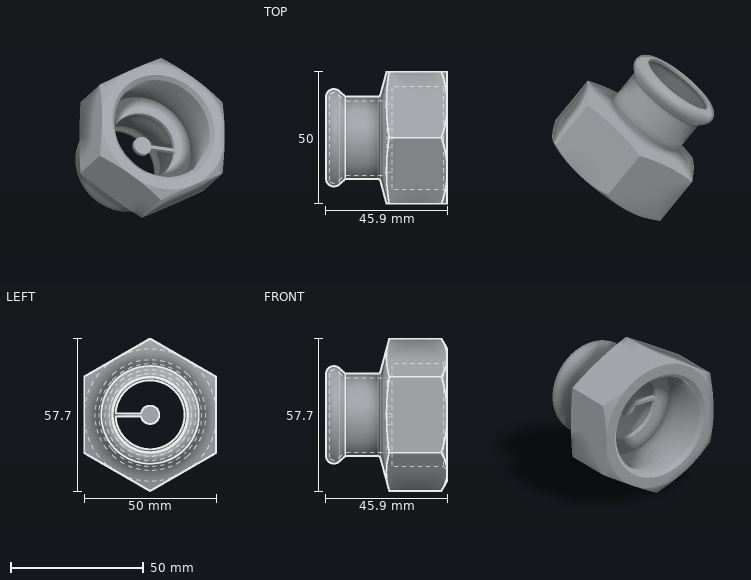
import cadquery as cq
import math

LENGTH = 45.9
ACROSS_FLATS = 50.0
CORNER_RADIUS = ACROSS_FLATS / math.sqrt(3)

TUBE_RADIUS = 31.3 / 2
SOCKET_RADIUS = 28.2 / 2
SOCKET_DEPTH = 23.0

BEAD_RADIUS = 3.0
BEAD_CENTER_X = BEAD_RADIUS
BEAD_CENTER_R = 15.5
BEAD_ANGLE = math.radians(42)
GROOVE_RADIUS = 1.7
MOUTH_RADIUS = 28.8 / 2
MOUTH_ROUND = 0.2

HEX_START_X = 23.93
BACK_CONE_ANGLE = math.radians(15)
NECK_FILLET = 1.0
END_CHAMFER = 2.2
END_CHAMFER_ANGLE = math.radians(30)

STOP_RADIUS = 26.0 / 2
STOP_THICKNESS = 2.0

THREAD_MINOR_RADIUS = 38.95 / 2
THREAD_MAJOR_RADIUS = 41.91 / 2

DISC_RADIUS = 3.5
ARM_WIDTH = 1.3


def arc_point(radius, angle):
    """Point (x, r) on a circle about the bead centre; angle leans from outward toward +X."""
    return (
        BEAD_CENTER_X + radius * math.sin(angle),
        BEAD_CENTER_R + radius * math.cos(angle),
    )


def cone_end_x(start, end_radius):
    """X where the bead's tapered flank, leaving start, comes down to end_radius."""
    return start[0] + (start[1] - end_radius) / math.tan(BEAD_ANGLE)


def revolve_x(profile):
    """Turn a closed (x, r) profile about the X axis."""
    return profile.close().revolve(360, (0, 0, 0), (1, 0, 0))


def make_bead_and_tube():
    front = arc_point(BEAD_RADIUS, -math.pi / 2)
    crest = arc_point(BEAD_RADIUS, 0)
    flank = arc_point(BEAD_RADIUS, BEAD_ANGLE)
    return revolve_x(
        cq.Workplane("XY")
        .moveTo(0, 0)
        .lineTo(*front)
        .threePointArc(crest, flank)
        .lineTo(cone_end_x(flank, TUBE_RADIUS), TUBE_RADIUS)
        .lineTo(HEX_START_X, TUBE_RADIUS)
        .lineTo(HEX_START_X, 0)
    )


def make_hexagon():
    prism = (
        cq.Workplane("YZ")
        .polygon(6, 2 * CORNER_RADIUS)
        .extrude(LENGTH)
        .rotate((0, 0, 0), (1, 0, 0), 90)
    )
    cone_foot_x = HEX_START_X - (CORNER_RADIUS - TUBE_RADIUS) * math.tan(BACK_CONE_ANGLE)
    turn_angle = math.pi / 2 - BACK_CONE_ANGLE
    fillet_start_x = cone_foot_x - NECK_FILLET * math.tan(turn_angle / 2)
    fillet_center_r = TUBE_RADIUS + NECK_FILLET

    def fillet_point(angle):
        return (
            fillet_start_x + NECK_FILLET * math.sin(angle),
            fillet_center_r - NECK_FILLET * math.cos(angle),
        )

    end_radius = CORNER_RADIUS - END_CHAMFER / math.tan(END_CHAMFER_ANGLE)
    envelope = revolve_x(
        cq.Workplane("XY")
        .moveTo(fillet_start_x, 0)
        .lineTo(fillet_start_x, TUBE_RADIUS)
        .threePointArc(fillet_point(turn_angle / 2), fillet_point(turn_angle))
        .lineTo(HEX_START_X, CORNER_RADIUS)
        .lineTo(LENGTH - END_CHAMFER, CORNER_RADIUS)
        .lineTo(LENGTH, end_radius)
        .lineTo(LENGTH, 0)
    )
    return prism.intersect(envelope)


def make_bore():
    groove_front = arc_point(GROOVE_RADIUS, -math.pi / 2)
    groove_crest = arc_point(GROOVE_RADIUS, 0)
    groove_flank = arc_point(GROOVE_RADIUS, BEAD_ANGLE)
    round_mid = MOUTH_ROUND * (1 - math.sqrt(0.5))
    thread_start_x = SOCKET_DEPTH + STOP_THICKNESS
    thread_chamfer = THREAD_MAJOR_RADIUS - THREAD_MINOR_RADIUS
    return revolve_x(
        cq.Workplane("XY")
        .moveTo(0, 0)
        .lineTo(0, MOUTH_RADIUS + MOUTH_ROUND)
        .threePointArc((round_mid, MOUTH_RADIUS + round_mid), (MOUTH_ROUND, MOUTH_RADIUS))
        .lineTo(groove_front[0], MOUTH_RADIUS)
        .lineTo(*groove_front)
        .threePointArc(groove_crest, groove_flank)
        .lineTo(cone_end_x(groove_flank, SOCKET_RADIUS), SOCKET_RADIUS)
        .lineTo(SOCKET_DEPTH, SOCKET_RADIUS)
        .lineTo(SOCKET_DEPTH, STOP_RADIUS)
        .lineTo(thread_start_x, STOP_RADIUS)
        .lineTo(thread_start_x, THREAD_MINOR_RADIUS)
        .lineTo(LENGTH - thread_chamfer, THREAD_MINOR_RADIUS)
        .lineTo(LENGTH, THREAD_MAJOR_RADIUS)
        .lineTo(LENGTH, 0)
    )


def make_disc_and_arm():
    arm_length = (STOP_RADIUS + SOCKET_RADIUS) / 2
    stop_plane = cq.Workplane("YZ", origin=(SOCKET_DEPTH, 0, 0))
    disc = stop_plane.circle(DISC_RADIUS).extrude(STOP_THICKNESS)
    arm = stop_plane.center(arm_length / 2, 0).rect(arm_length, ARM_WIDTH).extrude(STOP_THICKNESS)
    return disc.union(arm)


body = make_bead_and_tube().union(make_hexagon())
result = body.cut(make_bore()).union(make_disc_and_arm()).clean()